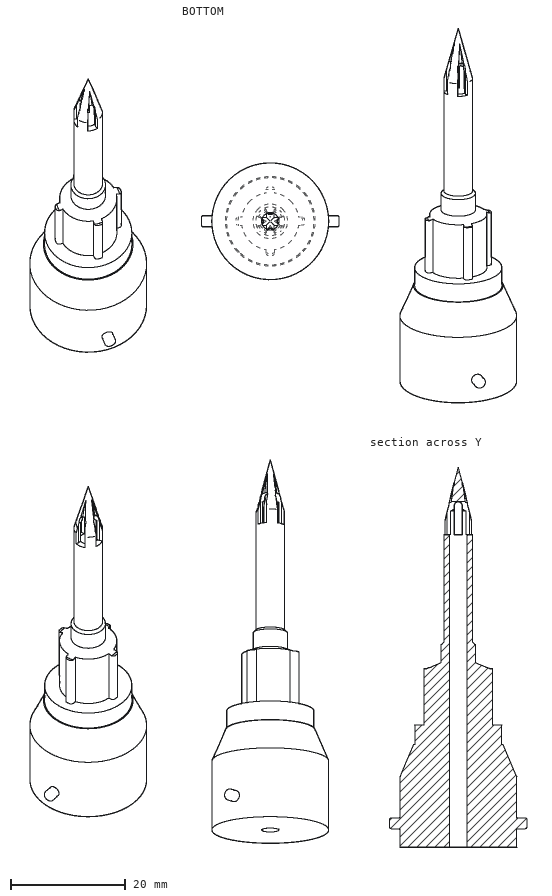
import cadquery as cq
import math

total_height = 66.2
body_top = 12.3
shoulder_top = 17.95
neck_top = 21.3
rib_top = 31.1
hub_top = 32.2
collar_top = 35.3
needle_start = 35.75
groove_floor = 54.5
point_start = 56.85

body_diameter = 20.4
shoulder_top_diameter = 15.6
neck_diameter = 15.2
rib_diameter = 12.0
hub_cone_diameter = 11.2
hub_diameter = 10.0
collar_diameter = 6.0
needle_diameter = 5.0
bore_diameter = 3.0
tip_diameter = 0.05

rib_count = 4
rib_width = 1.5
rib_edge_radius = 0.5

pin_diameter = 2.0
pin_span = 24.0
pin_height = 4.2
pin_edge_radius = 0.3

groove_count = 4
groove_angle = 60
groove_inner_radius = 0.7
core_top_radius = 0.85
core_bottom_radius = 1.25
window_width = 1.4
window_top = 60.2
bore_top = 58.6
bore_tip_angle = 118


def revolve_profile(points):
    """Solid of revolution about Z from (radius, height) points."""
    return cq.Workplane("XZ").polyline(points).close().revolve(360, (0, 0, 0), (0, 1, 0))


def base_body():
    """Cylindrical body with a conical shoulder and a slightly smaller neck."""
    return revolve_profile([
        (0, 0),
        (body_diameter / 2, 0),
        (body_diameter / 2, body_top),
        (shoulder_top_diameter / 2, shoulder_top),
        (neck_diameter / 2, shoulder_top),
        (neck_diameter / 2, neck_top),
        (0, neck_top),
    ])


def ribbed_hub():
    """Round hub with rounded ribs, topped by one shallow cone with flat rib ends outside it."""
    rib_height = hub_top - neck_top
    hub = cq.Workplane("XY").workplane(offset=neck_top).circle(hub_diameter / 2).extrude(rib_height)
    rib = (
        cq.Workplane("XY", origin=(rib_diameter / 4, 0, neck_top))
        .rect(rib_diameter / 2, rib_width)
        .extrude(rib_height)
        .edges("|Z and >X")
        .fillet(rib_edge_radius)
    )
    for i in range(rib_count):
        hub = hub.union(rib.rotate((0, 0, 0), (0, 0, 1), i * 360 / rib_count))
    envelope = revolve_profile([
        (0, neck_top),
        (rib_diameter / 2, neck_top),
        (rib_diameter / 2, rib_top),
        (hub_cone_diameter / 2, rib_top),
        (collar_diameter / 2, hub_top),
        (0, hub_top),
    ])
    return hub.intersect(envelope)


def needle():
    """Collar, straight shank and conical point."""
    return revolve_profile([
        (0, neck_top),
        (collar_diameter / 2, neck_top),
        (collar_diameter / 2, collar_top),
        (needle_diameter / 2, needle_start),
        (needle_diameter / 2, point_start),
        (tip_diameter / 2, total_height),
        (0, total_height),
    ])


def cross_pin():
    """Pin through the body along X, rounded at both ends."""
    return (
        cq.Workplane("YZ", origin=(0, 0, pin_height))
        .circle(pin_diameter / 2)
        .extrude(pin_span / 2, both=True)
        .faces("<X or >X")
        .edges()
        .fillet(pin_edge_radius)
    )


def bore():
    """Axial bore from the base, ending in a drill point inside the needle."""
    radius = bore_diameter / 2
    tip_height = radius / math.tan(math.radians(bore_tip_angle / 2))
    return revolve_profile([
        (0, 0),
        (radius, 0),
        (radius, bore_top),
        (0, bore_top + tip_height),
    ])


def point_grooves():
    """V-shaped radial grooves around the point that leave a tapered core on the axis."""
    reach = needle_diameter
    half_width = (reach - groove_inner_radius) * math.tan(math.radians(groove_angle / 2))
    groove = (
        cq.Workplane("XY")
        .workplane(offset=groove_floor)
        .polyline([(groove_inner_radius, 0), (reach, -half_width), (reach, half_width)])
        .close()
        .extrude(total_height - groove_floor)
    )
    point_slope = (total_height - point_start) / (needle_diameter / 2 - tip_diameter / 2)
    core_top = total_height - (core_top_radius - tip_diameter / 2) * point_slope
    core = revolve_profile([
        (0, groove_floor),
        (core_bottom_radius, groove_floor),
        (core_bottom_radius, window_top),
        (core_top_radius, core_top),
        (0, core_top),
    ])
    groove = groove.cut(core)
    grooves = groove
    for i in range(1, groove_count):
        grooves = grooves.union(groove.rotate((0, 0, 0), (0, 0, 1), i * 360 / groove_count))
    return grooves


def round_topped_window(plane):
    """Window with a half-round top, cut straight through the needle."""
    half_width = window_width / 2
    arch_start = window_top - half_width
    return (
        cq.Workplane(plane)
        .moveTo(-half_width, groove_floor)
        .lineTo(half_width, groove_floor)
        .lineTo(half_width, arch_start)
        .threePointArc((0, window_top), (-half_width, arch_start))
        .close()
        .extrude(needle_diameter, both=True)
    )


result = base_body().union(ribbed_hub()).union(needle()).union(cross_pin())
result = result.cut(bore()).cut(point_grooves())
for window_plane in ("XZ", "YZ"):
    result = result.cut(round_topped_window(window_plane))